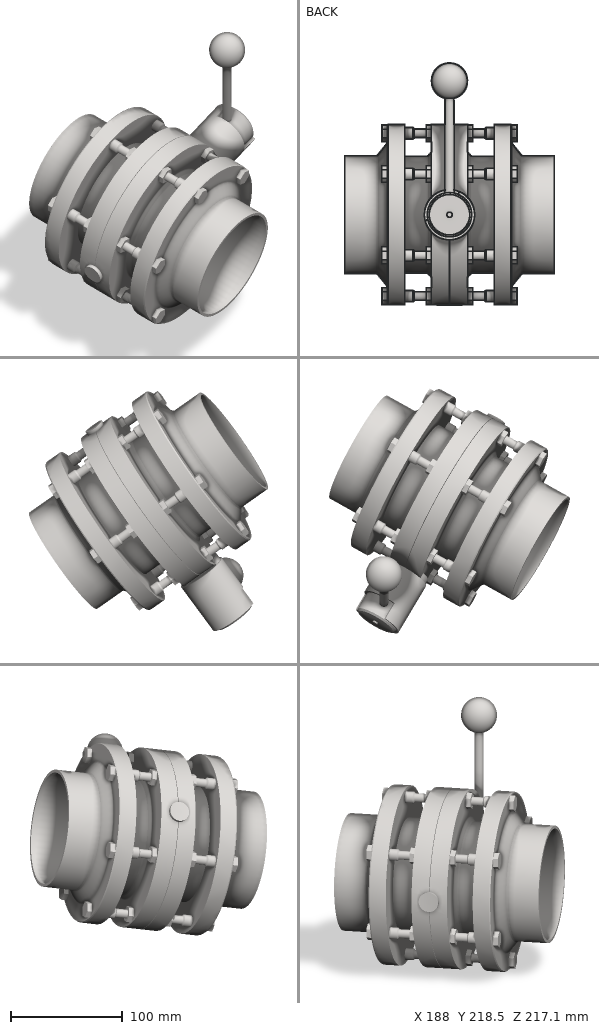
import cadquery as cq
import math


ring_width = 32.5
overall_length = 188.0

half_gap = 0.2
ring_end = ring_width / 2
sleeve_start = 19.7
flange_start = 40.0
flange_end = 56.0
pipe_start = 64.8
pipe_end = overall_length / 2

bore_radius = 50.2
sleeve_radius = 52.5
ring_neck_radius = 56.0
pipe_radius = 52.8
flange_neck_radius = 64.0
flange_radius = 81.0
flange_chamfer_length = 1.0
flange_chamfer_drop = 0.7
neck_fillet = 2.0

bolt_count = 6
bolt_circle_radius = 73.0
bolt_radius = 4.0
hex_sides = 6
hex_across_flats = 13.0
hex_height = 4.5
collar_radius = 5.2
collar_length = 8.5
collar_chamfer = 1.3

disc_rim_half_width = 9.8
disc_dome_height = 0.7
stem_radius = 9.0
stem_root = 43.7
stem_end_radius = 84.3

cheek_start = 75.1
hub_start = flange_radius
hub_end = 130.4
cap_height = 2.2
pin_end = 134.0

cheek_radius = 21.0
hub_radius = 22.5
core_radius = 19.9
cap_chamfer = 1.7
pin_radius = 2.5

rod_diameter = 8.0
rod_radius = rod_diameter / 2
rod_y = 118.0
ball_radius = 16.2
ball_z = 119.9

relief_start_angle = -23.0
relief_end_angle = 103.0


def cylinder_along_y(radius, start, end):
    """Cylinder on the Y axis between two Y positions."""
    return cq.Workplane("XZ", origin=(0, start, 0)).circle(radius).extrude(start - end)


def is_circle_at(edge, x, radius):
    """True for the circular edge of the given radius around the pipe axis at x."""
    tolerance = 0.002
    is_circle = edge.geomType() == "CIRCLE"
    return is_circle and abs(edge.startPoint().x - x) < tolerance and abs(edge.radius() - radius) < tolerance


def housing_shell():
    """Ring, sleeve, flange and pipe end of the +X half, without the bolts."""
    outline = [
        (half_gap, bore_radius),
        (half_gap, flange_radius),
        (ring_end, flange_radius),
        (ring_end, ring_neck_radius),
        (sleeve_start, sleeve_radius),
        (flange_start, sleeve_radius),
        (flange_start, flange_radius),
        (flange_end - flange_chamfer_length, flange_radius),
        (flange_end, flange_radius - flange_chamfer_drop),
        (flange_end, flange_neck_radius),
        (pipe_start, pipe_radius),
        (pipe_end, pipe_radius),
        (pipe_end, bore_radius),
    ]
    shell = cq.Workplane("XZ").polyline(outline).close().revolve(360, (0, 0, 0), (1, 0, 0))
    neck_corners = [
        (ring_end, ring_neck_radius),
        (sleeve_start, sleeve_radius),
        (flange_end, flange_neck_radius),
        (pipe_start, pipe_radius),
    ]
    for x, radius in neck_corners:
        corner_edges = shell.edges().filter(lambda edge: is_circle_at(edge, x, radius))
        shell = corner_edges.fillet(neck_fillet)
    return shell


def bolt_positions(x):
    """Points of the bolt circle on a plane across the pipe at x."""
    return cq.Workplane("YZ", origin=(x, 0, 0)).polarArray(bolt_circle_radius, 90, 360, bolt_count)


def flange_bolts():
    """Shanks, collars, heads and nuts of one half; one hexagon corner points outward."""
    hex_across_corners = hex_across_flats / math.cos(math.pi / hex_sides)
    heads = bolt_positions(flange_end).polygon(hex_sides, hex_across_corners).extrude(hex_height)
    nuts = bolt_positions(ring_end).polygon(hex_sides, hex_across_corners).extrude(hex_height)
    shanks = bolt_positions(ring_end).circle(bolt_radius).extrude(flange_end - ring_end)
    collars = bolt_positions(flange_start).circle(collar_radius).extrude(-collar_length)
    collars = collars.faces("<X").chamfer(collar_chamfer)
    return [heads, nuts, shanks, collars]


def make_right_half():
    """Housing half on the +X side, bored for the stem."""
    half = housing_shell()
    for bolt_parts in flange_bolts():
        half = half.union(bolt_parts)
    stem_bore = cylinder_along_y(stem_radius, -stem_end_radius, stem_end_radius)
    return half.cut(stem_bore)


def make_disc():
    """Closed disc with domed faces and a stem stub at each end of the Y axis."""
    dome_radius = (bore_radius**2 + disc_dome_height**2) / (2 * disc_dome_height)
    crown_x = disc_rim_half_width + disc_dome_height
    mid_radius = bore_radius / 2
    mid_x = crown_x - dome_radius + math.sqrt(dome_radius**2 - mid_radius**2)
    disc = (
        cq.Workplane("XZ")
        .moveTo(-crown_x, 0)
        .lineTo(crown_x, 0)
        .threePointArc((mid_x, mid_radius), (disc_rim_half_width, bore_radius))
        .lineTo(-disc_rim_half_width, bore_radius)
        .threePointArc((-mid_x, mid_radius), (-crown_x, 0))
        .close()
        .revolve(360, (0, 0, 0), (1, 0, 0))
    )
    rear_stub = cylinder_along_y(stem_radius, stem_root, hub_start)
    end_rounding = cq.Workplane("YZ").circle(stem_end_radius).extrude(ring_end, both=True)
    front_stub = cylinder_along_y(stem_radius, -stem_end_radius, -stem_root).intersect(end_rounding)
    return disc.union(rear_stub).union(front_stub)


def lever_relief():
    """Sector of the hub rim, from the lever side of the hub to its outer end."""
    relief_start = rod_y - rod_radius
    depth = hub_end - relief_start
    sector_reach = 2 * hub_radius
    middle_angle = (relief_start_angle + relief_end_angle) / 2
    sector_angles = [relief_start_angle, middle_angle, relief_end_angle]
    corners = [
        (sector_reach * math.sin(math.radians(a)), sector_reach * math.cos(math.radians(a)))
        for a in sector_angles
    ]
    sector = (
        cq.Workplane("XZ", origin=(0, relief_start, 0))
        .polyline([(0, 0)] + corners)
        .close()
        .extrude(-depth)
    )
    return sector.cut(cylinder_along_y(core_radius, relief_start, hub_end))


def fork_cheeks():
    """Two round-sided cheeks under the hub that straddle the ring."""
    cheeks = cylinder_along_y(cheek_radius, cheek_start, hub_start)
    ring_slot = cq.Workplane("XY").box(ring_width, 3 * hub_start, 2 * hub_radius)
    return cheeks.cut(ring_slot)


def make_handle():
    """Hub with its fork, end cap and pin, and the upright lever with a ball knob."""
    hub = cylinder_along_y(hub_radius, hub_start, hub_end).cut(lever_relief())
    cap = cylinder_along_y(core_radius, hub_end, hub_end + cap_height).faces(">Y").chamfer(cap_chamfer)
    pin = cylinder_along_y(pin_radius, hub_end, pin_end)
    rod = cq.Workplane("XY", origin=(0, rod_y, 0)).circle(rod_radius).extrude(ball_z)
    ball = cq.Workplane("XY", origin=(0, rod_y, ball_z)).sphere(ball_radius)
    return hub.union(fork_cheeks()).union(cap).union(pin).union(rod).union(ball)


right_half = make_right_half()
left_half = right_half.mirror("YZ")
disc = make_disc()
handle = make_handle()

result = cq.Compound.makeCompound([right_half.val(), left_half.val(), disc.val(), handle.val()])